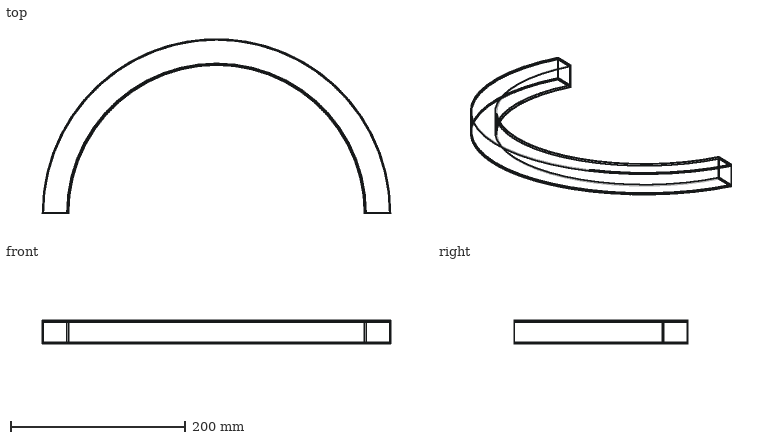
import cadquery as cq

outer_radius = 200.0
inner_radius = 170.0
height = 27.0
rim_fillet = 0.75

outer_wall = 1.0
inner_wall = 2.0
flat_wall = 2.0

core_outer_radius = outer_radius - outer_wall
core_inner_radius = inner_radius + inner_wall
core_height = height - 2 * flat_wall


def half_ring(large_radius, small_radius, bottom, thickness):
    """Rectangular-section half ring on the +Y side of the origin."""
    return (
        cq.Workplane("XY", origin=(0, 0, bottom))
        .moveTo(-large_radius, 0)
        .threePointArc((0, large_radius), (large_radius, 0))
        .lineTo(small_radius, 0)
        .threePointArc((0, small_radius), (-small_radius, 0))
        .close()
        .extrude(thickness)
    )


def make_core():
    return half_ring(core_outer_radius, core_inner_radius, flat_wall, core_height)


def make_sleeve():
    """Half ring with rounded curved rims and a channel for the core along its whole length."""
    blank = half_ring(outer_radius, inner_radius, 0, height)
    rounded = blank.faces("|Z").edges("%CIRCLE").fillet(rim_fillet)
    return rounded.cut(make_core())


sleeve = make_sleeve()
core = make_core()

result = cq.Compound.makeCompound([sleeve.val(), core.val()])